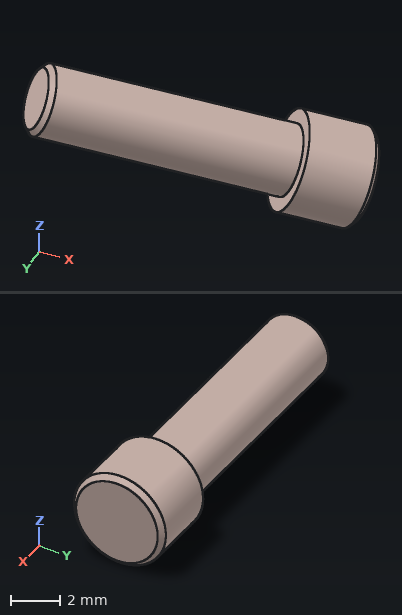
import cadquery as cq

total_length = 14.32
head_diameter = 4.34
head_length = 3.18
shank_diameter = 3.08
tip_chamfer = 0.25
head_chamfer = 0.25

shank_length = total_length - head_length


def cylinder_along_x(start, length, diameter):
    return cq.Workplane("YZ", origin=(start, 0, 0)).circle(diameter / 2).extrude(length)


shank = cylinder_along_x(0, shank_length, shank_diameter).faces("<X").chamfer(tip_chamfer)
head = cylinder_along_x(shank_length, head_length, head_diameter).faces(">X").chamfer(head_chamfer)

result = shank.union(head)